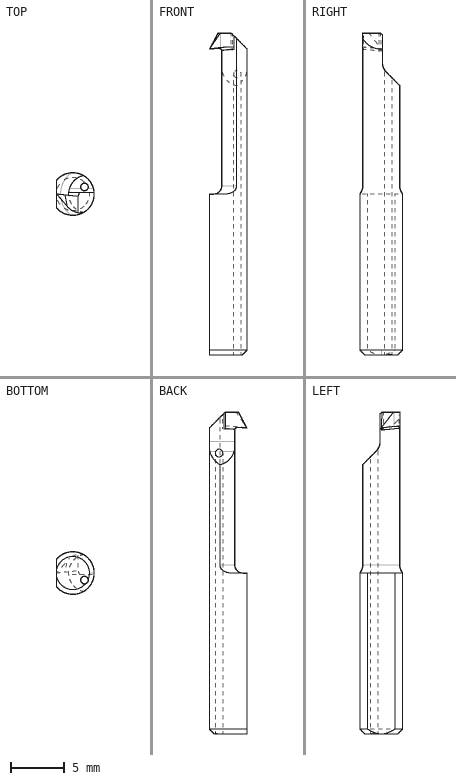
import cadquery as cq
import math

total_length = 30.0
shank_radius = 4.0 / 2
flat_x = shank_radius - 3.55
shank_length = 15.0
end_chamfer = 0.45

neck_radius = 1.77
neck_center_x = 1.38
root_radius = 0.75

relief_y = 0.12
relief_corner_z = 26.7
relief_corner_radius = 1.35

top_bevel = 1.5
bore_diameter = 0.7
bore_x = 1.08
bore_y = 0.65

tip_x = -1.5
tip_z = 28.53
top_edge_x = -0.75
under_clearance = 0.1
side_clearance = 0.2
under_fillet = 0.2
flank_end = (-0.48, -1.2)
head_arc_middle = (-0.03, -1.55)
head_arc_end = (0.78, -1.77)

groove_depth = 0.2
groove_low_x = 0.48
groove_end_x = 0.63
groove_floor_z = 28.4

margin = 1.5


def make_shank():
    """Cylinder with a bevelled lower end and one flat along its -X side."""
    shank = cq.Workplane("XY").circle(shank_radius).extrude(shank_length)
    shank = shank.faces("<Z").chamfer(end_chamfer)
    flat_cutter = cq.Workplane("XY").box(
        2 * shank_radius, 4 * shank_radius, 4 * shank_length
    ).translate((flat_x - shank_radius, 0, 0))
    return shank.cut(flat_cutter)


def make_neck():
    """Revolved neck with a concave root, limited by the shank cylinder."""
    root_bend = root_radius * (1 - 0.5 ** 0.5)
    profile = (
        cq.Workplane("XZ", origin=(neck_center_x, 0, 0))
        .moveTo(0, shank_length)
        .lineTo(neck_radius + root_radius, shank_length)
        .threePointArc(
            (neck_radius + root_bend, shank_length + root_bend),
            (neck_radius, shank_length + root_radius),
        )
        .lineTo(neck_radius, total_length)
        .lineTo(0, total_length)
        .close()
    )
    neck = profile.revolve(360, (0, 0, 0), (0, 1, 0))
    envelope = (
        cq.Workplane("XY", origin=(0, 0, shank_length))
        .circle(shank_radius)
        .extrude(total_length - shank_length)
    )
    return neck.intersect(envelope)


def head_section(depth):
    """Corners (X, Z) of the head at a given distance behind the tip along -Y."""
    bottom_z = tip_z + under_clearance * depth
    edge_slope = (top_edge_x - tip_x) / (total_length - tip_z)
    front_shift = side_clearance * depth
    bottom_x = tip_x + front_shift + edge_slope * (bottom_z - tip_z)
    return [
        (bottom_x, bottom_z),
        (top_edge_x + front_shift, total_length),
        (head_arc_end[0], total_length),
        (head_arc_end[0], bottom_z),
    ]


def make_under_fillet():
    """Concave ring under the head, tilted to follow the sloping underside."""
    bend = under_fillet * (1 - 0.5 ** 0.5)
    ring = (
        cq.Workplane("XZ", origin=(neck_center_x, 0, tip_z))
        .moveTo(neck_radius / 2, -under_fillet)
        .lineTo(neck_radius, -under_fillet)
        .threePointArc((neck_radius + bend, -bend), (neck_radius + under_fillet, 0))
        .lineTo(neck_radius + under_fillet, under_fillet)
        .lineTo(neck_radius / 2, under_fillet)
        .close()
        .revolve(360, (0, 0, 0), (0, 1, 0))
    )
    tilt = -math.degrees(math.atan(under_clearance))
    return ring.rotate((0, 0, tip_z), (1, 0, tip_z), tilt)


def make_head():
    """Tapered tooth, trimmed to a plan outline with a straight flank and an arc."""
    head_depth = -head_arc_end[1]
    tooth = (
        cq.Workplane("XZ")
        .polyline(head_section(0)).close()
        .workplane(offset=head_depth)
        .polyline(head_section(head_depth)).close()
        .loft(ruled=True)
    )
    plan = (
        cq.Workplane("XY", origin=(0, 0, tip_z - margin))
        .moveTo(tip_x, 0)
        .lineTo(*flank_end)
        .threePointArc(head_arc_middle, head_arc_end)
        .lineTo(head_arc_end[0], 0)
        .close()
        .extrude(total_length - tip_z + margin)
    )
    return tooth.union(make_under_fillet()).intersect(plan)


def make_relief_cutter():
    """Flat half-relief running out along a rounded 45 degree ramp."""
    outer_y = relief_y + 2 * shank_radius
    return (
        cq.Workplane("YZ", origin=(-2 * shank_radius, 0, 0))
        .moveTo(relief_y, total_length + margin)
        .lineTo(relief_y, relief_corner_z)
        .lineTo(outer_y, relief_corner_z - (outer_y - relief_y))
        .lineTo(outer_y, total_length + margin)
        .close()
        .extrude(4 * shank_radius)
        .edges(cq.selectors.NearestToPointSelector((0, relief_y, relief_corner_z)))
        .fillet(relief_corner_radius)
    )


def make_bevel_cutter():
    """45 degree wedge that removes the top corner on the +X side."""
    return (
        cq.Workplane("XZ")
        .moveTo(shank_radius - top_bevel - margin, total_length + margin)
        .lineTo(shank_radius + margin, total_length - top_bevel - margin)
        .lineTo(shank_radius + margin, total_length + margin)
        .close()
        .extrude(2 * shank_radius, both=True)
    )


def make_groove_cutter():
    """Shallow sloping chip groove behind the cutting edge."""
    return (
        cq.Workplane("XY", origin=(0, 0, groove_floor_z))
        .moveTo(tip_x, 0)
        .lineTo(groove_low_x, -groove_depth)
        .lineTo(groove_end_x, relief_y)
        .lineTo(tip_x, relief_y)
        .close()
        .extrude(total_length - groove_floor_z)
    )


bore = cq.Workplane("XY").center(bore_x, bore_y).circle(bore_diameter / 2).extrude(total_length)

result = make_shank().union(make_neck()).union(make_head())
result = result.cut(make_relief_cutter()).cut(make_bevel_cutter())
result = result.cut(make_groove_cutter()).cut(bore)